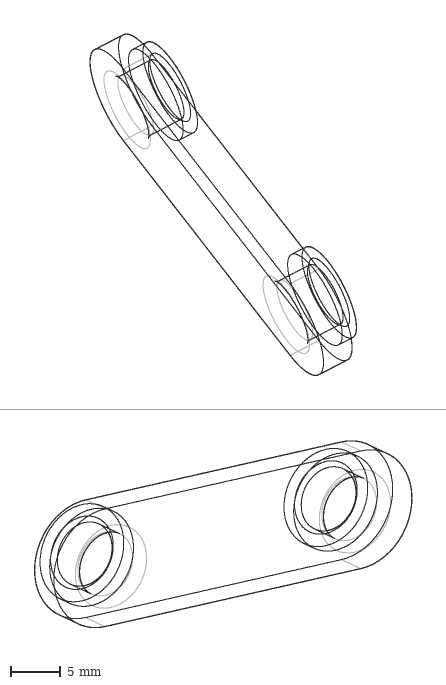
import cadquery as cq

length = 44.4
height = 12.7
plate_thickness = 3.45
total_depth = 5.2
hole_spacing = 30.25
hole_diameter = 6.8
boss_diameter = 10.4
front_mouth_radius = 1.0
back_mouth_chamfer = 0.5

boss_height = total_depth - plate_thickness
hole_centers = [(-hole_spacing / 2, 0), (hole_spacing / 2, 0)]


def make_plate():
    """Round-ended plate with its front face at Y = 0, extending toward +Y."""
    return cq.Workplane("XZ").slot2D(length, height).extrude(-plate_thickness)


def make_bosses():
    """Round bosses standing on the back face of the plate."""
    back_face = cq.Workplane("XZ", origin=(0, plate_thickness, 0))
    return back_face.pushPoints(hole_centers).circle(boss_diameter / 2).extrude(-boss_height)


def make_holes():
    """Through holes, one on the axis of each boss."""
    front_face = cq.Workplane("XZ")
    return front_face.pushPoints(hole_centers).circle(hole_diameter / 2).extrude(-total_depth)


body = make_plate().union(make_bosses()).cut(make_holes())

bore_edges = cq.selectors.RadiusNthSelector(0)
body = body.faces("<Y").edges("%CIRCLE").edges(bore_edges).fillet(front_mouth_radius)
result = body.faces(">Y").edges(bore_edges).chamfer(back_mouth_chamfer)